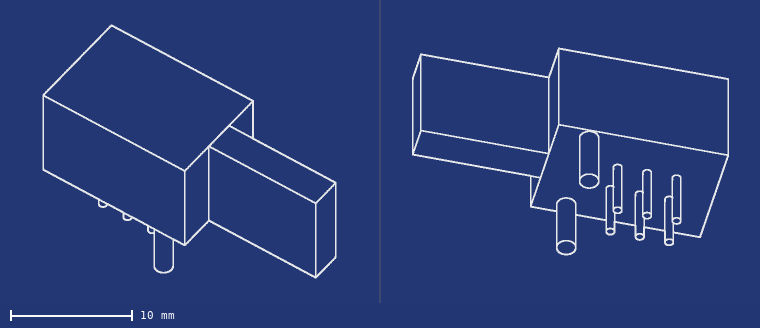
import cadquery as cq

HOUSING_LENGTH = 14.36
HOUSING_WIDTH = 9.6
HOUSING_HEIGHT = 9.1

TOTAL_LENGTH = 25.2
LEVER_LENGTH = TOTAL_LENGTH - HOUSING_LENGTH
LEVER_WIDTH = 2.82

TOTAL_HEIGHT = 14.2
PIN_LENGTH = TOTAL_HEIGHT - HOUSING_HEIGHT

CONTACT_DIAMETER = 0.7
CONTACT_PITCH = 2.5
CONTACT_COLUMNS = 3
FIRST_CONTACT_X = 3.5

POST_DIAMETER = 1.6
POST_X = 11.57
POST_SPACING = 7.79


def make_block(left_x, length, width):
    """Block of housing height, centred on Y = 0 and standing on Z = 0."""
    return cq.Workplane("XY").box(length, width, HOUSING_HEIGHT, centered=(False, True, False)).translate(
        (left_x, 0, 0)
    )


def make_pin(x, y, diameter):
    """Round pin reaching down from the underside of the housing."""
    return cq.Workplane("XY").center(x, y).circle(diameter / 2).extrude(-PIN_LENGTH)


housing = make_block(0, HOUSING_LENGTH, HOUSING_WIDTH)
lever = make_block(HOUSING_LENGTH, LEVER_LENGTH, LEVER_WIDTH)

contact_pins = []
mounting_posts = []
for side in (-1, 1):
    for column in range(CONTACT_COLUMNS):
        contact_x = FIRST_CONTACT_X + column * CONTACT_PITCH
        contact_pins.append(make_pin(contact_x, side * CONTACT_PITCH / 2, CONTACT_DIAMETER).val())
    mounting_posts.append(make_pin(POST_X, side * POST_SPACING / 2, POST_DIAMETER).val())

result = cq.Compound.makeCompound([housing.val(), lever.val(), *contact_pins, *mounting_posts])